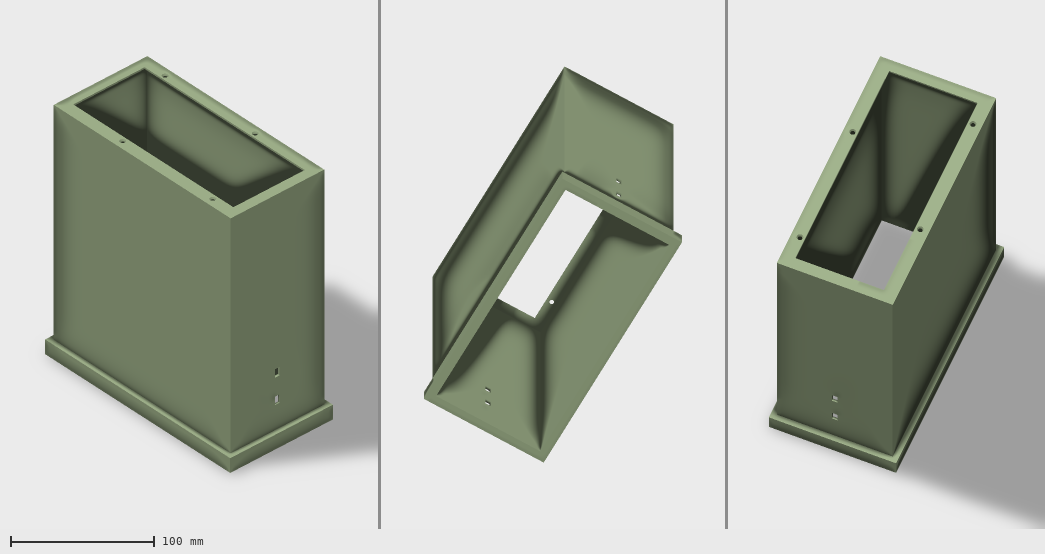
import cadquery as cq

height = 212.5
base_length = 192.0
base_width = 96.0
base_height = 12.5
ledge = 4.2
body_length = base_length - 2 * ledge
body_width = base_width - 2 * ledge

wall = 2.0
flange_thickness = 1.5
end_flange = 8.7
side_flange = 10.5
cavity_length = body_length - 2 * wall
cavity_width = body_width - 2 * wall
mouth_length = body_length - 2 * end_flange
mouth_width = body_width - 2 * side_flange

hole_top_diameter = 4.7
hole_bottom_diameter = 3.2
hole_spacing = 93.5
row_shift = 19.3
row_y = 37.2

window_width = 4.2
window_height = 7.2
window_centers_z = (37.5, 60.8)


def block(length, width, block_height, bottom=0.0):
    """Upright block centred on the Z axis."""
    return (
        cq.Workplane("XY")
        .workplane(offset=bottom)
        .rect(length, width)
        .extrude(block_height)
    )


def countersink(x, y):
    """Cone through the flange, widest at the top."""
    return (
        cq.Workplane("XY")
        .workplane(offset=height - flange_thickness)
        .center(x, y)
        .circle(hole_bottom_diameter / 2)
        .workplane(offset=flange_thickness)
        .circle(hole_top_diameter / 2)
        .loft()
    )


base = block(base_length, base_width, base_height)
result = base.union(block(body_length, body_width, height))

result = result.cut(block(cavity_length, cavity_width, height - flange_thickness))
result = result.cut(block(mouth_length, mouth_width, height))

for row_side in (-1, 1):
    for end_side in (-1, 1):
        hole_x = row_side * row_shift + end_side * hole_spacing / 2
        result = result.cut(countersink(hole_x, -row_side * row_y))

for center_z in window_centers_z:
    window = block(body_length, window_width, window_height, center_z - window_height / 2)
    result = result.cut(window)